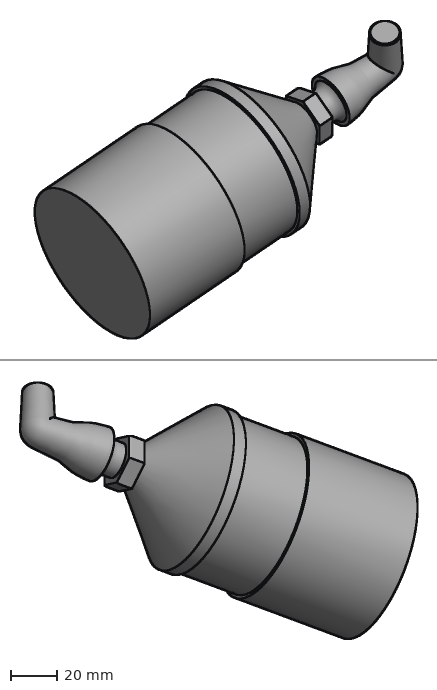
import cadquery as cq
import math

body_radius = 38.0
waist_radius = 36.5
cone_tip_radius = 9.3
body_end = 54.5
waist_end = 86.2
flange_end = 92.2
cone_end = 121.2

nut_across_flats = 22.2
nut_thickness = 7.5
nut_bevel_height = 1.2
nut_bevel_inset = 0.4
nut_end = cone_end + nut_thickness

neck_radius = 8.1
flare_radius = 10.4
rim_radius = 12.5
shoulder_radius = 11.5
sleeve_end_radius = 9.0
neck_end = 133.0
flare_end = 137.3
rim_end = 139.0
shoulder_end = 146.5
sleeve_end = 154.2
flare_sag = 0.44
barrel_sag = 0.2

total_length = 176.2
elbow_radius = 7.8
bend_radius = 0.9
outlet_axis = total_length - elbow_radius
bend_start = outlet_axis - bend_radius
outlet_height = 22.2
outlet_radius = 6.9
outlet_chamfer = 0.5


def make_cup():
    """Stepped cylinder, flange and cone revolved about Y."""
    outline = [
        (0, 0),
        (body_radius, 0),
        (body_radius, body_end),
        (waist_radius, body_end),
        (waist_radius, waist_end),
        (body_radius, waist_end),
        (body_radius, flange_end),
        (cone_tip_radius, cone_end),
        (0, cone_end),
    ]
    return cq.Workplane("XY").polyline(outline).close().revolve(360, (0, 0), (0, 1))


def make_nut():
    """Hexagonal prism whose elbow-side edges are bevelled along every flat."""
    corner_diameter = nut_across_flats / math.cos(math.pi / 6)
    return (
        cq.Workplane("XZ", origin=(0, cone_end, 0))
        .polygon(6, corner_diameter)
        .extrude(-nut_thickness)
        .rotate((0, 0, 0), (0, 1, 0), 30)
        .faces(">Y")
        .chamfer(nut_bevel_height, nut_bevel_inset)
    )


def make_coupling():
    """Neck, hollow flare, rim, rounded sleeve and tapered elbow leg."""
    flare_middle = (
        (neck_radius + flare_radius) / 2 - flare_sag,
        (neck_end + flare_end) / 2 + flare_sag,
    )
    barrel_middle = (
        (rim_radius + shoulder_radius) / 2 + barrel_sag,
        (rim_end + shoulder_end) / 2,
    )
    return (
        cq.Workplane("XY")
        .moveTo(0, nut_end)
        .lineTo(neck_radius, nut_end)
        .lineTo(neck_radius, neck_end)
        .threePointArc(flare_middle, (flare_radius, flare_end))
        .lineTo(rim_radius, flare_end)
        .lineTo(rim_radius, rim_end)
        .threePointArc(barrel_middle, (shoulder_radius, shoulder_end))
        .lineTo(sleeve_end_radius, sleeve_end)
        .lineTo(elbow_radius, bend_start)
        .lineTo(0, bend_start)
        .close()
        .revolve(360, (0, 0), (0, 1))
    )


def make_bend():
    """Quarter turn of the round section; its part beyond the bend axis is left out."""
    half_width = math.sqrt(elbow_radius**2 - bend_radius**2)
    return (
        cq.Workplane("XZ", origin=(0, bend_start, 0))
        .moveTo(-half_width, bend_radius)
        .threePointArc((0, -elbow_radius), (half_width, bend_radius))
        .close()
        .revolve(90, (-half_width, bend_radius), (half_width, bend_radius))
    )


def make_outlet():
    """Tapered upright leg with a chamfered end."""
    return (
        cq.Workplane("XZ", origin=(0, outlet_axis, 0))
        .moveTo(0, bend_radius)
        .lineTo(elbow_radius, bend_radius)
        .lineTo(outlet_radius, outlet_height - outlet_chamfer)
        .lineTo(outlet_radius - outlet_chamfer, outlet_height)
        .lineTo(0, outlet_height)
        .close()
        .revolve(360, (0, 0), (0, 1))
    )


result = (
    make_cup()
    .union(make_nut())
    .union(make_coupling())
    .union(make_bend())
    .union(make_outlet())
)